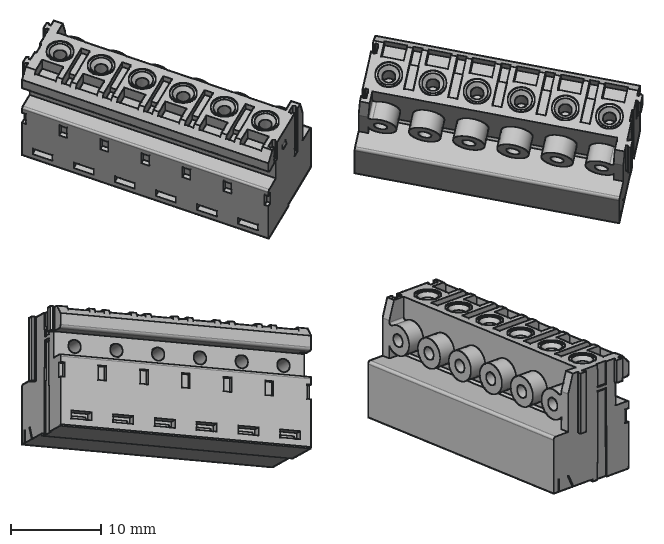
import cadquery as cq
import math


pole_count = 6
body_length = 30.0
pitch = body_length / pole_count
body_depth = 11.5
body_height = 13.9
pole_centers = [(pole + 0.5) * pitch for pole in range(pole_count)]
pole_borders = [border * pitch for border in range(pole_count + 1)]
inner_borders = pole_borders[1:-1]

foot_chamfer = 0.15
shelf_fillet = 0.25
rear_shelf_fillet = 0.35
nose_fillet = 0.37
front_shelf_z = 8.17
notch_y = 2.03
nose_bottom_z = 11.15
nose_chamfer = 1.08
cheek_top_y = 8.57
cheek_y = 9.28
cheek_slope_z = 11.65
rear_shelf_z = 7.07
plinth_y = 5.5
rear_bottom_z = 0.28

cheek_thickness = 1.1
rear_wall_y = 7.1
wall_foot_bevel = 0.28
wire_z = 9.65
wire_hole_diameter = 1.5
funnel_diameter = 3.6
funnel_blend = 0.3

screw_y = 4.73
screw_ring_diameter = 3.0
screw_ring_depth = 0.15
screw_cone_diameter = 2.43
screw_hole_diameter = 1.45
screw_hole_floor_z = 11.05

opening_front_y = 0.77
opening_rear_y = 2.77
pocket_width = 2.58
pocket_depth = 1.5
slot_width = 1.05
slot_rear_y = 6.08
slot_rear_floor_depth = 0.8

coding_width = 0.95
coding_depth = 0.55
coding_bottom_z = 5.6
coding_top_z = 7.25
latch_width = 2.43
latch_depth = 1.1
latch_bottom_z = 0.92
latch_top_z = 1.85
wedge_width = 1.75
wedge_lip = 0.18
wedge_rise = 0.37
wedge_run = 0.37

rail_depth = 0.58
groove_depth = 0.65
rail_neck_depth = 0.18
rail_head_depth = 0.35
groove_clearance = 0.1
neck_half_width = 0.3
rear_dovetail_y = 7.5
rear_dovetail_bottom_z = 6.65
rear_head_half_width = 0.5
rear_dovetail_taper = 0.05
front_dovetail_y = 1.97
front_dovetail_bottom_z = nose_bottom_z
front_head_half_width = 0.55
front_dovetail_taper = 0.12

snap_depth = 0.18
snap_front_y = 3.47
snap_rear_y = 4.73
snap_draft = 0.1
snap_bridge_bottom_z = 10.7
snap_bevel = 0.18
hook_reach = 0.15
hook_front_y = 3.7
hook_rear_y = 4.58
hook_bottom_z = 11.43
hook_top_z = 12.05

slit_width = 0.1
slit_depth = 0.1
slit_top_z = 1.75
upright_slit_y = 10.63
slanted_slit_top_y = 9.2
slanted_slit_bottom_y = 8.48


def box(x_range, y_range, z_range):
    """Box between the given limits."""
    size = [high - low for low, high in (x_range, y_range, z_range)]
    corner = (x_range[0], y_range[0], z_range[0])
    return cq.Workplane("XY").box(*size, centered=False).translate(corner)


def prism_x(points, x_start, x_end):
    """Prism along X from an outline of (y, z) points."""
    outline = cq.Workplane("YZ", origin=(x_start, 0, 0)).polyline(points).close()
    return outline.extrude(x_end - x_start)


def cylinder_y(diameter, x, y_start, y_end):
    """Cylinder along Y on the wire axis at x."""
    plane = cq.Workplane("XZ", origin=(x, y_start, wire_z))
    return plane.circle(diameter / 2).extrude(y_start - y_end)


def make_housing():
    """Full-length body with the cross-section of the end cheeks."""
    outline = [
        (foot_chamfer, 0),
        (0, foot_chamfer),
        (0, front_shelf_z),
        (notch_y, front_shelf_z),
        (notch_y, nose_bottom_z),
        (0, nose_bottom_z),
        (0, body_height - nose_chamfer),
        (nose_chamfer, body_height),
        (cheek_top_y, body_height),
        (cheek_y, cheek_slope_z),
        (cheek_y, rear_shelf_z),
        (body_depth, rear_shelf_z),
        (body_depth, rear_bottom_z),
        (plinth_y, rear_bottom_z),
        (plinth_y, 0),
    ]
    housing = prism_x(outline, 0, body_length)
    rounded_edges = [
        (0, front_shelf_z, shelf_fillet),
        (0, nose_bottom_z, nose_fillet),
        (body_depth, rear_shelf_z, rear_shelf_fillet),
    ]
    for y, z, radius in rounded_edges:
        edge = cq.selectors.NearestToPointSelector((body_length / 2, y, z))
        housing = housing.edges(edge).fillet(radius)
    return housing


def rear_recess():
    """Space behind the rear wall, between the cheeks, with a bevel along the wall foot."""
    outline = [
        (rear_wall_y, body_height),
        (rear_wall_y, rear_shelf_z + wall_foot_bevel),
        (rear_wall_y + wall_foot_bevel, rear_shelf_z),
        (body_depth, rear_shelf_z),
        (body_depth, body_height),
    ]
    return prism_x(outline, cheek_thickness, body_length - cheek_thickness)


def cheek_blend(side):
    """Concave blend on top of an end funnel, running up to its cheek (side -1 left, +1 right)."""
    funnel_radius = funnel_diameter / 2
    cheek_offset = pitch / 2 - cheek_thickness
    arc_offset = cheek_offset - funnel_blend
    arc_rise = math.sqrt((funnel_radius + funnel_blend) ** 2 - arc_offset**2)
    touch_scale = funnel_radius / (funnel_radius + funnel_blend)
    touch = (side * arc_offset * touch_scale, arc_rise * touch_scale)
    middle_angle = (math.atan2(arc_rise, arc_offset) - math.pi) / 2
    middle = (
        side * (arc_offset + funnel_blend * math.cos(middle_angle)),
        arc_rise + funnel_blend * math.sin(middle_angle),
    )
    x = pole_centers[0] if side < 0 else pole_centers[-1]
    return (
        cq.Workplane("XZ", origin=(x, rear_wall_y, wire_z))
        .moveTo(0, 0)
        .lineTo(*touch)
        .threePointArc(middle, (side * cheek_offset, arc_rise))
        .lineTo(side * cheek_offset, 0)
        .close()
        .extrude(rear_wall_y - cheek_y)
    )


def screw_hole(x):
    """Ring recess, 45 degree cone and blind hole for one screw."""
    cone_top_z = body_height - screw_ring_depth
    cone_drop = (screw_cone_diameter - screw_hole_diameter) / 2
    profile = [
        (0, body_height),
        (screw_ring_diameter / 2, body_height),
        (screw_ring_diameter / 2, cone_top_z),
        (screw_cone_diameter / 2, cone_top_z),
        (screw_hole_diameter / 2, cone_top_z - cone_drop),
        (screw_hole_diameter / 2, screw_hole_floor_z),
        (0, screw_hole_floor_z),
    ]
    section = cq.Workplane("XZ", origin=(x, screw_y, 0)).polyline(profile).close()
    return section.revolve(360, (0, 0, 0), (0, 1, 0))


def top_opening(x, width, y_range, depth):
    """Rectangular opening of one depth in the top face."""
    return box((x - width / 2, x + width / 2), y_range, (body_height - depth, body_height))


def latch_window(x):
    """Front window with a ramped wedge left standing against its rear wall."""
    window = box(
        (x - latch_width / 2, x + latch_width / 2),
        (0, latch_depth),
        (latch_bottom_z, latch_top_z),
    )
    lip_z = latch_bottom_z + wedge_lip
    wedge_outline = [
        (latch_depth, latch_bottom_z),
        (latch_depth - wedge_run, latch_bottom_z),
        (latch_depth - wedge_run, lip_z),
        (latch_depth, lip_z + wedge_rise),
    ]
    return window.cut(prism_x(wedge_outline, x - wedge_width / 2, x + wedge_width / 2))


def dovetail(y, bottom_z, head_half_width, taper, x, depth, clearance):
    """Upright dovetail that reaches a depth to the left of x and up to the top face."""
    neck = neck_half_width + clearance
    head = head_half_width + clearance
    half_outline = [
        (0, neck),
        (-rail_neck_depth, neck),
        (-rail_head_depth, head),
        (-depth, head - taper),
    ]
    mirrored = [(along, -across) for along, across in reversed(half_outline)]
    outline = cq.Workplane("XY", origin=(x, y, bottom_z)).polyline(half_outline + mirrored).close()
    return outline.extrude(body_height - bottom_z)


def dovetail_pair(x, depth, clearance):
    """Rear and front dovetails at one end."""
    rear_shape = (rear_dovetail_y, rear_dovetail_bottom_z, rear_head_half_width, rear_dovetail_taper)
    front_shape = (front_dovetail_y, front_dovetail_bottom_z, front_head_half_width, front_dovetail_taper)
    rear = dovetail(*rear_shape, x, depth, clearance)
    front = dovetail(*front_shape, x, depth, clearance)
    return rear.union(front)


def snap_recesses():
    """Shallow drafted recesses in the left end, above and below the snap bridge."""
    upper_outline = [
        (snap_front_y, nose_bottom_z),
        (snap_front_y, body_height),
        (snap_rear_y + snap_draft, body_height),
        (snap_rear_y, nose_bottom_z),
    ]
    lower_outline = [
        (snap_front_y - snap_draft, 0),
        (snap_front_y, snap_bridge_bottom_z),
        (snap_rear_y, snap_bridge_bottom_z),
        (snap_rear_y + snap_draft, 0),
    ]
    lower = prism_x(lower_outline, 0, snap_depth)
    bevel = (
        cq.Workplane("XZ", origin=(0, snap_rear_y, 0))
        .polyline(
            [
                (0, snap_bridge_bottom_z),
                (snap_depth, snap_bridge_bottom_z),
                (snap_depth, snap_bridge_bottom_z - snap_bevel),
            ]
        )
        .close()
        .extrude(snap_rear_y - snap_front_y)
    )
    return prism_x(upper_outline, 0, snap_depth).union(lower.cut(bevel))


def snap_hook():
    """Hook on the right end, sloped on its upper side."""
    outline = [
        (body_length, hook_bottom_z),
        (body_length + hook_reach, hook_bottom_z),
        (body_length, hook_top_z),
    ]
    section = cq.Workplane("XZ", origin=(0, hook_rear_y, 0)).polyline(outline).close()
    return section.extrude(hook_rear_y - hook_front_y)


def end_slit(bottom_y, top_y):
    """Thin slit in the left end, from the underside up."""
    outline = [
        (bottom_y, rear_bottom_z),
        (bottom_y + slit_width, rear_bottom_z),
        (top_y + slit_width, slit_top_z),
        (top_y, slit_top_z),
    ]
    return prism_x(outline, 0, slit_depth)


result = make_housing().cut(rear_recess())

for x in pole_centers:
    result = result.union(cylinder_y(funnel_diameter, x, rear_wall_y, cheek_y))
result = result.union(cheek_blend(-1)).union(cheek_blend(1))
for x in pole_centers:
    result = result.cut(cylinder_y(wire_hole_diameter, x, 0, body_depth))

opening_range = (opening_front_y, opening_rear_y)
for x in pole_centers:
    result = result.cut(screw_hole(x))
    result = result.cut(top_opening(x, pocket_width, opening_range, pocket_depth))
    result = result.cut(latch_window(x))

for x in inner_borders:
    result = result.cut(top_opening(x, slot_width, opening_range, pocket_depth))
    result = result.cut(top_opening(x, slot_width, (opening_rear_y, slot_rear_y), slot_rear_floor_depth))

for x in pole_borders:
    result = result.cut(
        box(
            (x - coding_width / 2, x + coding_width / 2),
            (0, coding_depth),
            (coding_bottom_z, coding_top_z),
        )
    )

result = result.cut(dovetail_pair(body_length, groove_depth, groove_clearance))
result = result.cut(snap_recesses())
result = result.cut(end_slit(upright_slit_y, upright_slit_y))
result = result.cut(end_slit(slanted_slit_bottom_y, slanted_slit_top_y))
result = result.union(dovetail_pair(0, rail_depth, 0))
result = result.union(snap_hook())